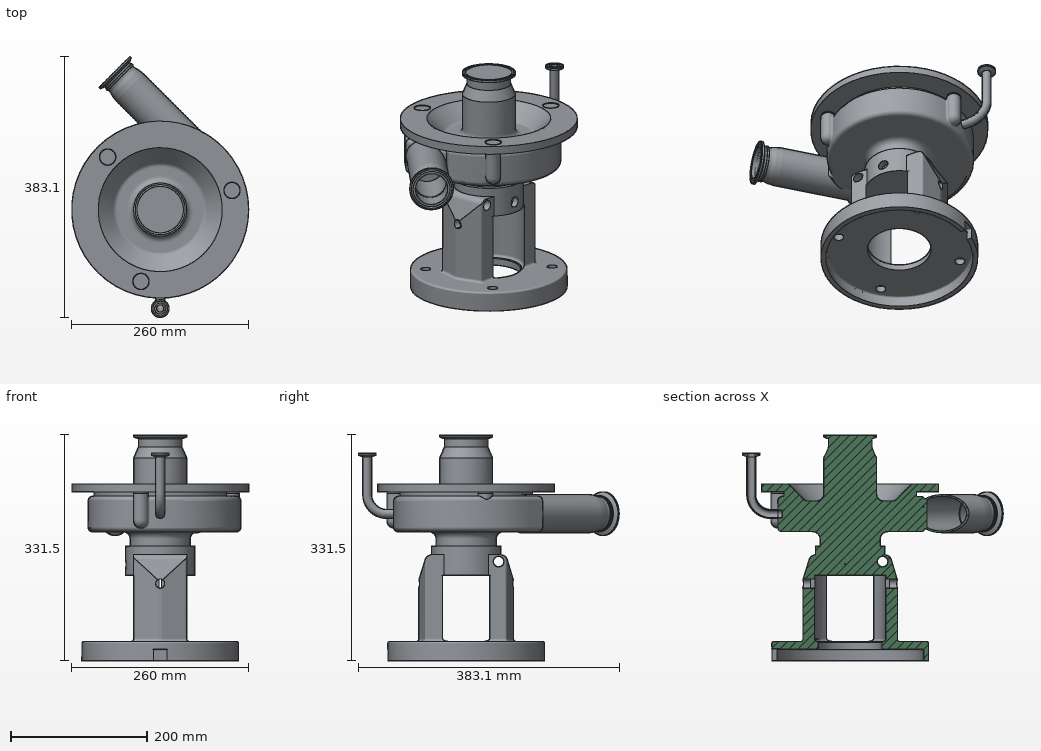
import cadquery as cq
import math

base_height = 28.6
leg_top = 156.0
collar_bottom = 125.6
collar_top = 168.6
neck_flare_start = 179.0
casing_bottom = 189.5
casing_top = 242.0
plate_bottom = 248.0
plate_top = 260.0
tube_shoulder = 298.0
tube_neck_start = 314.0
total_height = 331.5
casing_middle = (casing_bottom + casing_top) / 2

base_radius = 115.2
base_bore_radius = 46.7
base_bore_chamfer = 1.3
base_cavity_radius = 108.0
base_cavity_height = 17.0
base_cavity_fillet = 2.4
base_edge_fillet = 3.0
base_hole_diameter = 14.4
base_hole_circle_radius = 93.0
base_hole_count = 4
base_hole_first_angle = 45
notch_width = 20.0
notch_height = 17.6
notch_fillet = 1.5

leg_half_width = 39.0
leg_corner_y = 59.5
leg_ridge_y = 69.6
leg_ridge_half_width = 3.2
leg_bore_radius = 52.0
leg_slope_low = (69.6, 118.7)
leg_slope_high = (60.3, 149.0)
leg_corner_fillet = 3.0
leg_top_fillet = 11.0
leg_foot_fillet = 4.0
drain_hole_diameter = 13.3
drain_hole_height = 113.5
drain_hole_floor_y = 58.0
drain_slit_width = 3.2
cross_hole_diameter = 15.2
cross_hole_y = 47.6
cross_hole_height = 145.8

collar_radius = 51.0
collar_hole_diameter = 15.2
collar_hole_height = 141.8
collar_hole_depth = 10.0
neck_radius = 44.3

casing_radius = 106.0
casing_widening_angle = 250
outlet_side_angle = 45
outlet_wall_offset = 124.0
casing_top_fillet = 7.4
casing_bottom_fillet = 6.5
casing_ring_radius = 97.5
tangent_end = 35.0
tongue_fillet = 3.0

plate_radius = 130.0
dish_radius = 91.0
dish_floor = 235.0
dish_fillet = 7.5
tube_radius = 39.0
tube_root_fillet = 10.0
tube_neck_radius = 32.1

lug_angles = (15, 135, 255)
lug_circle_radius = 109.1
lug_radius = 11.0
lug_top = 245.7
lug_bottom = 195.0
lug_bottom_fillet = 10.5
lug_root_fillet = 2.5
lug_pin_radius = 10.4
lug_recess_radius = 11.6
lug_recess_depth = 1.0
lug_recess_chamfer = 0.5

length_tolerance = 0.05

foot_zone_side_margin = 1.0
foot_zone_height_margin = 0.1

ferrule_rim = 2.9
ferrule_length = 5.6
ferrule_groove_radius = 1.3
ferrule_groove_inset = 3.64

outlet_start = 20.0
outlet_radius = 28.3
outlet_axis_offset = 95.4
outlet_height = 216.2
outlet_length = 190.3
outlet_neck_radius = 25.5
outlet_bead_radius = 26.7
outlet_ferrule_radius = 32.1
outlet_bore_radius = 23.7
outlet_inner_radius = 25.2
outlet_bore_end = 80.0
outlet_bore_step = 156.0
outlet_cone_start = 158.5
outlet_cone_middle = 167.0
outlet_cone_middle_radius = 27.3
outlet_cone_end = 173.5
outlet_bead_start = 178.2
outlet_bead_end = 181.3

drain_radius = 6.7
drain_bore_radius = 5.3
drain_y = -145.2
drain_bend_radius = 28.5
drain_start_y = -100.0
drain_top = 305.0
drain_ferrule_radius = 13.15


def ring_of_revolution(outline):
    """Turn an outline drawn as (radius, height) around the Z axis."""
    return outline.close().revolve(360, (0, 0, 0), (0, 1, 0))


def cylinder(radius, bottom, top):
    return cq.Workplane("XY").workplane(offset=bottom).circle(radius).extrude(top - bottom)


def ferrule_groove(face_height, ferrule_radius):
    """Half-round gasket groove in the end face of a ferrule."""
    middle = ferrule_radius - ferrule_groove_inset
    ring = cq.Workplane("XZ").center(middle, face_height).circle(ferrule_groove_radius)
    return ring.revolve(360, (-middle, 0, 0), (-middle, 1, 0))


def make_base():
    base = cylinder(base_radius, 0, base_height)
    base = base.faces(">Z").edges().fillet(base_edge_fillet)
    cavity = cylinder(base_cavity_radius, 0, base_cavity_height)
    return base.cut(cavity.faces(">Z").edges().fillet(base_cavity_fillet))


def make_leg():
    """Leg on the +Y side: a ridged block with a sloped upper front."""
    leg = (
        cq.Workplane("XY")
        .workplane(offset=base_height)
        .moveTo(-leg_half_width, 0)
        .lineTo(leg_half_width, 0)
        .lineTo(leg_half_width, leg_corner_y)
        .lineTo(leg_ridge_half_width, leg_ridge_y)
        .lineTo(-leg_ridge_half_width, leg_ridge_y)
        .lineTo(-leg_half_width, leg_corner_y)
        .close()
        .extrude(leg_top - base_height)
    )
    low_y, low_z = leg_slope_low
    high_y, high_z = leg_slope_high
    slope = (high_y - low_y) / (high_z - low_z)
    top_y = high_y + slope * (leg_top - high_z)
    wedge = (
        cq.Workplane("YZ")
        .moveTo(low_y, low_z)
        .lineTo(top_y, leg_top)
        .lineTo(low_y, leg_top)
        .close()
        .extrude(leg_half_width, both=True)
    )
    leg = leg.cut(wedge)
    leg = leg.edges(cq.selectors.NearestToPointSelector((0, top_y, leg_top))).fillet(leg_top_fillet)
    for side in (-1, 1):
        corner = (side * leg_half_width, leg_corner_y, (base_height + leg_top) / 2)
        leg = leg.edges(cq.selectors.NearestToPointSelector(corner)).fillet(leg_corner_fillet)
    return leg


def make_stand():
    leg = make_leg()
    stand = make_base().union(leg).union(leg.mirror("XZ"))
    stand = stand.cut(cylinder(leg_bore_radius, base_height, collar_bottom))
    zone_x = leg_half_width + foot_zone_side_margin
    zone_y = leg_ridge_y + foot_zone_side_margin
    foot_zone = cq.selectors.BoxSelector(
        (-zone_x, -zone_y, base_height - foot_zone_height_margin),
        (zone_x, zone_y, base_height + foot_zone_height_margin),
        boundingbox=True,
    )
    stand = stand.edges(foot_zone).fillet(leg_foot_fillet)
    bore = cylinder(base_bore_radius, 0, base_height)
    mouth_radius = base_bore_radius + base_bore_chamfer
    mouth = cq.Workplane("XY").workplane(offset=base_height).circle(mouth_radius)
    return stand.cut(bore).cut(mouth.extrude(-base_bore_chamfer, taper=45))


def make_core():
    """Collar, neck, cover plate and suction tube, all turned around the Z axis."""
    flare = casing_bottom - neck_flare_start
    dish_run = plate_top - dish_floor
    wall_foot_radius = dish_radius - dish_run
    half_slope = math.radians(45 / 2)
    tangent = dish_fillet * math.tan(half_slope)
    diagonal = math.sqrt(0.5)
    root_middle_radius = tube_radius + tube_root_fillet * (1 - diagonal)
    root_middle_height = dish_floor + tube_root_fillet * (1 - diagonal)
    dish_middle = (
        wall_foot_radius - tangent + dish_fillet * math.sin(half_slope),
        dish_floor + dish_fillet * (1 - math.cos(half_slope)),
    )
    outline = (
        cq.Workplane("XZ")
        .moveTo(0, collar_bottom)
        .lineTo(collar_radius, collar_bottom)
        .lineTo(collar_radius, collar_top)
        .lineTo(neck_radius, collar_top)
        .lineTo(neck_radius, neck_flare_start)
        .radiusArc((neck_radius + flare, casing_bottom), flare)
        .lineTo(casing_ring_radius, casing_bottom)
        .lineTo(casing_ring_radius, plate_bottom)
        .lineTo(plate_radius, plate_bottom)
        .lineTo(plate_radius, plate_top)
        .lineTo(dish_radius, plate_top)
        .lineTo(wall_foot_radius + tangent * diagonal, dish_floor + tangent * diagonal)
        .threePointArc(dish_middle, (wall_foot_radius - tangent, dish_floor))
        .lineTo(tube_radius + tube_root_fillet, dish_floor)
        .threePointArc(
            (root_middle_radius, root_middle_height), (tube_radius, dish_floor + tube_root_fillet)
        )
        .lineTo(tube_radius, tube_shoulder)
        .lineTo(tube_neck_radius, tube_neck_start)
        .lineTo(tube_neck_radius, total_height - ferrule_length)
        .lineTo(tube_radius, total_height - ferrule_rim)
        .lineTo(tube_radius, total_height)
        .lineTo(0, total_height)
    )
    return ring_of_revolution(outline).cut(ferrule_groove(total_height, tube_radius))


def polar_point(radius, angle, center=(0, 0)):
    turn = math.radians(angle)
    return (center[0] + radius * math.cos(turn), center[1] + radius * math.sin(turn))


def outlet_frame_point(offset, along):
    """Plan point given by its offset from, and distance along, the outlet direction."""
    return ((offset - along) / math.sqrt(2), (offset + along) / math.sqrt(2))


def make_casing():
    """Volute outline: a circle that runs into a wider arc, then the straight wall of the outlet."""
    inner_wall_offset = outlet_axis_offset - outlet_radius
    tongue_center_offset = inner_wall_offset - tongue_fillet
    tongue_center_reach = casing_radius + tongue_fillet
    tongue_along = math.sqrt(tongue_center_reach**2 - tongue_center_offset**2)
    tongue_center = outlet_frame_point(tongue_center_offset, tongue_along)
    start_angle = math.degrees(math.atan2(tongue_center[1], tongue_center[0]))
    tongue_middle_angle = (outlet_side_angle + start_angle - 180) / 2
    leaning = math.cos(math.radians(casing_widening_angle - 180 - outlet_side_angle))
    center_shift = (outlet_wall_offset - casing_radius) / (1 + leaning)
    wide_radius = casing_radius + center_shift
    wide_center = polar_point(center_shift, casing_widening_angle - 180)
    wide_middle_angle = (casing_widening_angle + 360 + outlet_side_angle) / 2
    casing = (
        cq.Workplane("XY")
        .workplane(offset=casing_bottom)
        .moveTo(*outlet_frame_point(inner_wall_offset, tongue_along))
        .threePointArc(
            polar_point(tongue_fillet, tongue_middle_angle, tongue_center),
            polar_point(casing_radius, start_angle),
        )
        .threePointArc(
            polar_point(casing_radius, (start_angle + casing_widening_angle) / 2),
            polar_point(casing_radius, casing_widening_angle),
        )
        .threePointArc(
            polar_point(wide_radius, wide_middle_angle, wide_center),
            polar_point(wide_radius, outlet_side_angle, wide_center),
        )
        .lineTo(*outlet_frame_point(outlet_wall_offset, tangent_end))
        .close()
        .extrude(casing_top - casing_bottom)
    )
    casing = casing.faces(">Z").edges().fillet(casing_top_fillet)
    casing = casing.faces("<Z").edges().fillet(casing_bottom_fillet)
    return casing.cut(cylinder(casing_ring_radius, casing_bottom, casing_top))


def place_on_outlet(body):
    """Move a body turned around Z onto the outlet axis."""
    origin_x, origin_y = outlet_frame_point(outlet_axis_offset, 0)
    plane = cq.Plane(origin=(origin_x, origin_y, outlet_height), xDir=(1, 1, 0), normal=(-1, 1, 0))
    return cq.Workplane(obj=body.val().moved(cq.Location(plane)))


def make_outlet():
    outline = (
        cq.Workplane("XZ")
        .moveTo(0, outlet_start)
        .lineTo(outlet_radius, outlet_start)
        .lineTo(outlet_radius, outlet_cone_start)
        .lineTo(outlet_cone_middle_radius, outlet_cone_middle)
        .lineTo(outlet_neck_radius, outlet_cone_end)
        .lineTo(outlet_neck_radius, outlet_bead_start)
        .lineTo(outlet_bead_radius, outlet_bead_start)
        .lineTo(outlet_bead_radius, outlet_bead_end)
        .lineTo(outlet_neck_radius, outlet_bead_end)
        .lineTo(outlet_neck_radius, outlet_length - ferrule_length)
        .lineTo(outlet_ferrule_radius, outlet_length - ferrule_rim)
        .lineTo(outlet_ferrule_radius, outlet_length)
        .lineTo(0, outlet_length)
    )
    pipe = ring_of_revolution(outline).cut(ferrule_groove(outlet_length, outlet_ferrule_radius))
    return place_on_outlet(pipe)


def make_outlet_bore():
    inner = cylinder(outlet_inner_radius, outlet_bore_end, outlet_bore_step)
    return place_on_outlet(inner.union(cylinder(outlet_bore_radius, outlet_bore_step, outlet_length)))


def lug_place(angle):
    x = lug_circle_radius * math.cos(math.radians(angle))
    y = lug_circle_radius * math.sin(math.radians(angle))
    return (x, y, 0)


def make_lug(angle):
    lug = cylinder(lug_radius, lug_bottom, lug_top).faces("<Z").edges().fillet(lug_bottom_fillet)
    lug = lug.union(cylinder(lug_pin_radius, lug_top, plate_bottom))
    return lug.translate(lug_place(angle))


def make_casing_with_lugs():
    """Casing with its lugs, blended where a lug wall meets the upright casing wall."""
    casing = make_casing()
    for angle in lug_angles:
        casing = casing.union(make_lug(angle))
    root_length = casing_top - casing_top_fillet - lug_bottom - lug_bottom_fillet
    roots = casing.edges("|Z").filter(lambda edge: abs(edge.Length() - root_length) < length_tolerance)
    return roots.fillet(lug_root_fillet)


def make_lug_recess(angle):
    recess = cylinder(lug_recess_radius, plate_top - lug_recess_depth, plate_top)
    rim = (
        cq.Workplane("XY")
        .workplane(offset=plate_top)
        .circle(lug_recess_radius + lug_recess_chamfer)
        .extrude(-lug_recess_chamfer, taper=45)
    )
    return recess.union(rim).translate(lug_place(angle))


def sweep_drain(radius, start_y):
    """Round bar along the drain path: outward, around the bend and up."""
    bend_start_y = drain_y + drain_bend_radius
    bend_top = casing_middle + drain_bend_radius
    shift = drain_bend_radius * math.sqrt(0.5)
    path = (
        cq.Workplane("YZ")
        .moveTo(start_y, casing_middle)
        .lineTo(bend_start_y, casing_middle)
        .threePointArc((bend_start_y - shift, bend_top - shift), (drain_y, bend_top))
        .lineTo(drain_y, drain_top)
    )
    return cq.Workplane("XZ", origin=(0, start_y, casing_middle)).circle(radius).sweep(path)


def make_drain():
    outline = (
        cq.Workplane("XZ")
        .moveTo(0, drain_top - ferrule_length)
        .lineTo(drain_radius, drain_top - ferrule_length)
        .lineTo(drain_ferrule_radius, drain_top - ferrule_rim)
        .lineTo(drain_ferrule_radius, drain_top)
        .lineTo(0, drain_top)
    )
    ferrule = ring_of_revolution(outline).cut(ferrule_groove(drain_top, drain_ferrule_radius))
    return sweep_drain(drain_radius, drain_start_y).union(ferrule.translate((0, drain_y, 0)))


def cut_base_details(body):
    holes = (
        cq.Workplane("XY")
        .polarArray(base_hole_circle_radius, base_hole_first_angle, 360, base_hole_count)
        .circle(base_hole_diameter / 2)
        .extrude(base_height)
    )
    notch_reach = 2 * (base_radius - base_cavity_radius)
    notch = (
        cq.Workplane("XY")
        .center(0, -(base_radius + base_cavity_radius) / 2)
        .rect(notch_width, notch_reach)
        .extrude(notch_height)
        .edges("|Y and >Z")
        .fillet(notch_fillet)
    )
    return body.cut(holes).cut(notch)


def cut_leg_holes(body):
    for side in (-1, 1):
        blind_length = leg_ridge_y - drain_hole_floor_y
        middle_y = side * (leg_ridge_y + drain_hole_floor_y) / 2
        hole = cq.Workplane("XZ", origin=(0, middle_y, drain_hole_height))
        body = body.cut(hole.circle(drain_hole_diameter / 2).extrude(blind_length / 2, both=True))
    slit = cq.Workplane("XY").box(drain_slit_width, 2 * leg_ridge_y, drain_hole_diameter)
    body = body.cut(slit.translate((0, 0, drain_hole_height)))
    cross_hole = cq.Workplane("YZ").center(cross_hole_y, cross_hole_height)
    return body.cut(cross_hole.circle(cross_hole_diameter / 2).extrude(leg_half_width, both=True))


def cut_collar_hole(body):
    start = cq.Workplane("YZ", origin=(-collar_radius, 0, collar_hole_height))
    return body.cut(start.circle(collar_hole_diameter / 2).extrude(collar_hole_depth))


result = make_stand().union(make_core()).union(make_casing_with_lugs())
for lug_angle in lug_angles:
    result = result.cut(make_lug_recess(lug_angle))
result = result.union(make_outlet()).cut(make_outlet_bore())
result = result.union(make_drain()).cut(sweep_drain(drain_bore_radius, drain_start_y))
result = cut_base_details(result)
result = cut_leg_holes(result)
result = cut_collar_hole(result)